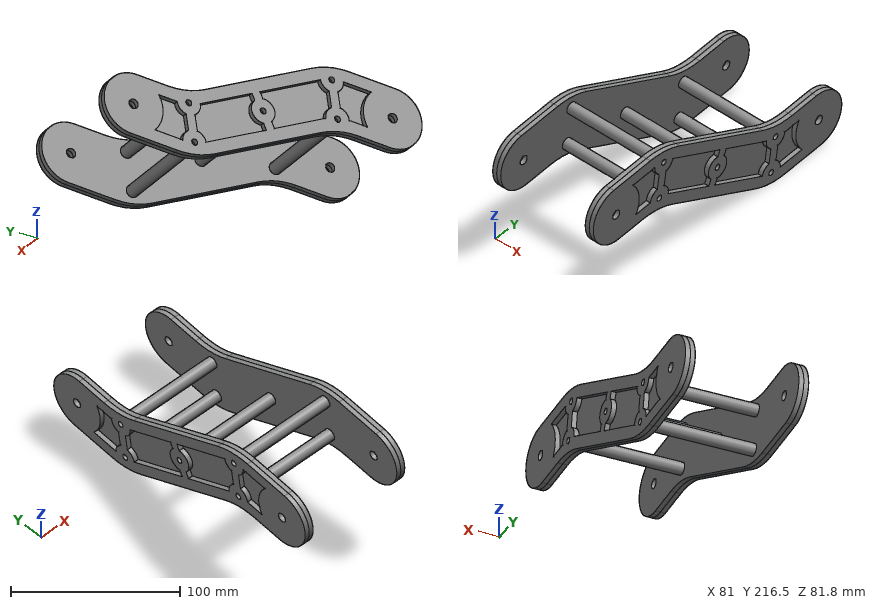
import cadquery as cq
import math


length = 216.5
width = 81.0
plate_thickness = 3.2

pivot_spacing = 176.5
spine_slope = math.radians(24.0)
arm_slope = math.radians(6.0)
arm_length = 40.0
bend_radius = 50.0
half_width = (length - pivot_spacing) / 2

pivot_diameter = 6.0
bolt_diameter = 4.0
spacer_diameter = 8.0
bolt_pitch = 25.3

window_border = 8.0
boss_radius = 8.0
rib_width = 6.0

pivot_y = pivot_spacing / 2
bend_y = pivot_y - arm_length * math.cos(arm_slope)
bend_z = -bend_y * math.tan(spine_slope)
pivot_z = bend_z + arm_length * math.sin(arm_slope)

bisector_angle = (spine_slope - arm_slope) / 2
half_bend = (spine_slope + arm_slope) / 2

bend_shift = bend_radius * (1 / math.cos(half_bend) - 1)


def with_opposite(points):
    """Add to each point its partner half a turn away about the X axis."""
    return points + [(-y, -z) for y, z in points]


def along_bisector(distance):
    """Point on the bisector of the +Y bend, measured from the corner of the centreline."""
    return (
        bend_y + distance * math.sin(bisector_angle),
        bend_z + distance * math.cos(bisector_angle),
    )


pivots = with_opposite([(pivot_y, pivot_z)])
bolts = [(0.0, 0.0)] + with_opposite(
    [along_bisector(bend_shift + offset) for offset in (-bolt_pitch / 2, bolt_pitch / 2)]
)


def at_x(x):
    return cq.Workplane("YZ", origin=(x, 0, 0))


def discs(x, points, radius, thickness):
    return at_x(x).pushPoints(points).circle(radius).extrude(thickness)


def strap(x, half):
    """Cranked band with sharp bends and square ends at the pivots."""
    end_y = half * math.sin(arm_slope)
    end_z = half * math.cos(arm_slope)
    miter = half / math.cos(half_bend)
    corners = with_opposite(
        [
            along_bisector(-miter),
            (pivot_y + end_y, pivot_z - end_z),
            (pivot_y - end_y, pivot_z + end_z),
            along_bisector(miter),
        ]
    )
    return at_x(x).polyline(corners).close().extrude(plate_thickness)


def is_bend(edge):
    return abs(edge.Center().y) < pivot_y - half_width


def inner_plate(x):
    """Full profile with rounded bends and ends, pierced by the pivot and bolt holes."""
    plate = strap(x, half_width).edges("|X").filter(is_bend).fillet(bend_radius)
    plate = plate.union(discs(x, pivots, half_width, plate_thickness))
    plate = plate.cut(discs(x, pivots, pivot_diameter / 2, plate_thickness))
    return plate.cut(discs(x, bolts, bolt_diameter / 2, plate_thickness))


def rib(x, center, lean):
    """Straight rib across the profile, leaning from +Z toward +Y."""
    return (
        at_x(x)
        .center(*center)
        .transformed(rotate=(0, 0, -math.degrees(lean)))
        .rect(rib_width, 2 * half_width)
        .extrude(plate_thickness)
    )


def windows(x):
    """Four openings: the inset band less the ribs, bolt bosses and pivot ends."""
    openings = strap(x, half_width - window_border)
    openings = openings.cut(discs(x, pivots, half_width, plate_thickness))
    openings = openings.cut(discs(x, bolts, boss_radius, plate_thickness))
    openings = openings.cut(rib(x, (0, 0), spine_slope))
    for bend in with_opposite([(bend_y, bend_z)]):
        openings = openings.cut(rib(x, bend, bisector_angle))
    return openings


def outer_plate(x):
    return inner_plate(x).cut(windows(x))


def spacer(x, point, span):
    """Tube clamped between the inner plates, bored for its bolt."""
    tube = discs(x, [point], spacer_diameter / 2, span)
    return tube.cut(discs(x, [point], bolt_diameter / 2, span))


left_outer_x = -width / 2
left_inner_x = left_outer_x + plate_thickness
spacer_x = left_inner_x + plate_thickness
right_inner_x = -spacer_x
right_outer_x = right_inner_x + plate_thickness

outer_plates = [outer_plate(x).val() for x in (left_outer_x, right_outer_x)]
inner_plates = [inner_plate(x).val() for x in (left_inner_x, right_inner_x)]
spacers = [spacer(spacer_x, bolt, right_inner_x - spacer_x).val() for bolt in bolts]

result = cq.Compound.makeCompound([*outer_plates, *inner_plates, *spacers])